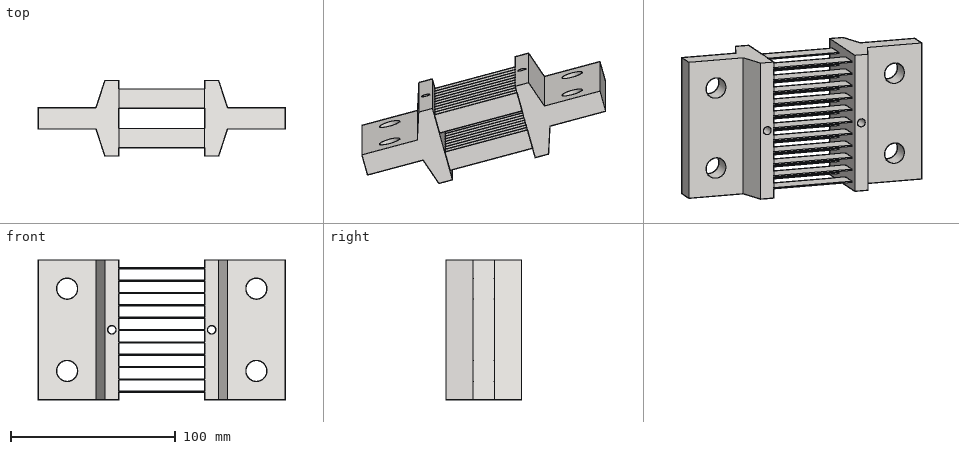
import cadquery as cq

length = 150.0
height = 85.0

tab_thickness = 13.0
flange_width = 46.0
flange_gap = 52.0
flange_rim = 8.5
taper_length = 5.4

mount_hole_diameter = 12.6
mount_hole_spacing_x = 114.9
mount_hole_spacing_z = 50.0
pin_hole_diameter = 5.0

blade_count = 11
blade_pitch = 7.5
blade_thickness = 0.8
blade_width = 11.8
blade_stack_z = -0.2
blade_stack_gap = 12.2

end_x = length / 2
flange_inner_x = flange_gap / 2
flange_rim_x = flange_inner_x + flange_rim
taper_end_x = flange_rim_x + taper_length
pin_hole_x = (flange_inner_x + flange_rim_x) / 2
blade_y = (blade_stack_gap + blade_width) / 2


def make_end_block():
    """End block on the +X side: flange tapering into a flat tab."""
    upper_edge = [
        (flange_inner_x, flange_width / 2),
        (flange_rim_x, flange_width / 2),
        (taper_end_x, tab_thickness / 2),
        (end_x, tab_thickness / 2),
    ]
    lower_edge = [(x, -y) for x, y in reversed(upper_edge)]
    return (
        cq.Workplane("XY")
        .polyline(upper_edge + lower_edge)
        .close()
        .extrude(height / 2, both=True)
    )


def make_holes(diameter, places):
    """Cylinders along Y, long enough to pass through the flanges."""
    return (
        cq.Workplane("XZ")
        .pushPoints(places)
        .circle(diameter / 2)
        .extrude(flange_width, both=True)
    )


def make_blade(y, z):
    """One thin blade spanning the gap between the flanges."""
    return (
        cq.Workplane("XY")
        .box(flange_gap, blade_width, blade_thickness)
        .translate((0, y, z))
    )


end_block = make_end_block()
end_blocks = end_block.union(end_block.mirror("YZ"))

mount_places = [
    (side_x * mount_hole_spacing_x / 2, side_z * mount_hole_spacing_z / 2)
    for side_x in (-1, 1)
    for side_z in (-1, 1)
]
pin_places = [(-pin_hole_x, 0), (pin_hole_x, 0)]
end_blocks = end_blocks.cut(make_holes(mount_hole_diameter, mount_places))
end_blocks = end_blocks.cut(make_holes(pin_hole_diameter, pin_places))

result = end_blocks
for level in range(blade_count):
    blade_z = blade_stack_z + (level - (blade_count - 1) / 2) * blade_pitch
    for side_y in (-1, 1):
        result = result.union(make_blade(side_y * blade_y, blade_z))